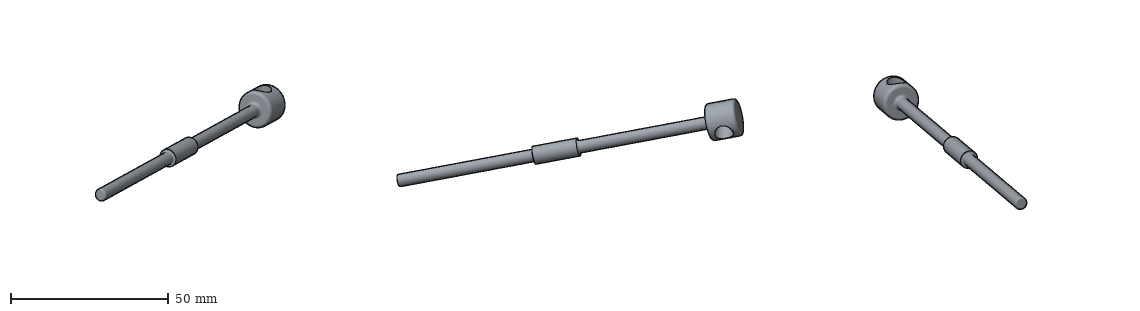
import cadquery as cq

total_length = 112.5
rod_radius = 2.0
tip_fillet = 0.6

head_radius = 6.02
head_length = 10.0
head_edge_fillet = 1.0
head_root_fillet = 1.0
cross_hole_diameter = 6.0
cross_hole_from_head_end = head_length / 2

sleeve_radius = 2.9
sleeve_length = 14.6
sleeve_from_head_end = 53.0
sleeve_root_fillet = 0.5

head_end = total_length / 2
tip_end = -total_length / 2
head_base = head_end - head_length
sleeve_top = head_end - sleeve_from_head_end
sleeve_bottom = sleeve_top - sleeve_length


def cylinder(radius, start, end):
    """Cylinder on the Y axis between two stations."""
    return cq.Workplane("XZ", origin=(0, end, 0)).circle(radius).extrude(end - start)


def root_flare(station, fillet, toward_tip):
    """Concave fillet ring between the rod and the shoulder at a station."""
    direction = -1 if toward_tip else 1
    rod_end = station + direction * fillet
    diagonal = fillet * (1 - 0.5**0.5)
    return (
        cq.Workplane("XY")
        .moveTo(0, station)
        .lineTo(rod_radius + fillet, station)
        .threePointArc(
            (rod_radius + diagonal, station + direction * diagonal),
            (rod_radius, rod_end),
        )
        .lineTo(0, rod_end)
        .close()
        .revolve(360, (0, 0, 0), (0, 1, 0))
    )


rod = cylinder(rod_radius, tip_end, head_base).faces("<Y").edges().fillet(tip_fillet)
head = cylinder(head_radius, head_base, head_end).edges().fillet(head_edge_fillet)
sleeve = cylinder(sleeve_radius, sleeve_bottom, sleeve_top)

cross_hole = (
    cq.Workplane("XY", origin=(0, head_end - cross_hole_from_head_end, 0))
    .circle(cross_hole_diameter / 2)
    .extrude(head_radius, both=True)
)

result = (
    rod.union(head)
    .union(sleeve)
    .union(root_flare(head_base, head_root_fillet, toward_tip=True))
    .union(root_flare(sleeve_top, sleeve_root_fillet, toward_tip=False))
    .union(root_flare(sleeve_bottom, sleeve_root_fillet, toward_tip=True))
    .cut(cross_hole)
)